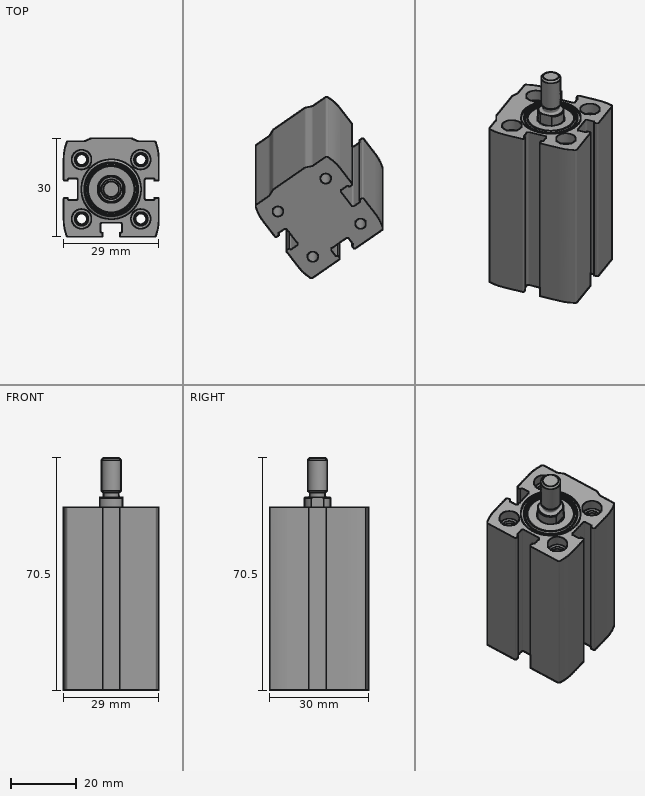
import cadquery as cq
import math

total_height = 70.5
body_height = 55.55
body_width = 29.0
body_depth = 30.0
half_width = body_width / 2

side_flat_half = 9.25
side_curve_radius = 13.75
end_flat_half = 13.05
corner_drop = 0.6
corner_radius = 0.7
pad_height = 0.9
pad_top_half = 6.05
pad_foot_half = 8.05
pad_radius = 1.4
front_y = -half_width
pad_y = front_y + body_depth
rear_y = pad_y - pad_height

slot_mouth_width = 5.2
slot_inner_width = 6.5
slot_lip = 1.35
slot_depth = 4.3
slot_inner_radius = 0.5
slot_lip_radius = 0.3
slot_mouth_radius = 0.4
slot_angles = (-90, 0, 90)

hole_pitch = 18.0
hole_diameter = 3.25
counterbore_diameter = 6.0
counterbore_depth = 3.5
countersink_diameter = 4.15
countersink_depth = (countersink_diameter - hole_diameter) / 2

outer_groove_diameter = 18.2
outer_crest_diameter = 16.4
crest_drop = 0.2
crest_z = body_height - crest_drop
groove_depth = 0.4
groove_floor = crest_z - groove_depth
inner_groove_diameter = 16.0
inner_groove_floor_diameter = 15.6
inner_crest_diameter = 14.5
inner_groove_chamfer = (outer_crest_diameter - inner_groove_diameter) / 2
recess_diameter = 14.0
recess_depth = 0.35
cover_face = body_height - recess_depth
rod_clearance_diameter = 8.3
rod_clearance_depth = 0.7
clearance_floor = cover_face - rod_clearance_depth

collar_diameter = 8.0
collar_top = 58.5
collar_chamfer = 0.2
flats_width = 7.0
thread_diameter = 6.0
thread_bottom = 60.55
neck_diameter = 4.7
thread_chamfer = (thread_diameter - neck_diameter) / 2
neck_fillet = 0.4
rod_bottom = body_height / 2


def side_curve_x(y):
    """X of the right-hand side curve at a given Y, tangent to the flat side face."""
    rise = abs(y) - side_flat_half
    return half_width - side_curve_radius + math.sqrt(side_curve_radius**2 - rise**2)


def housing_outline():
    """Square profile with curved sides and small rounded corners."""
    front_end_y = front_y + corner_drop
    rear_end_y = rear_y - corner_drop
    front_mid_y = (front_end_y - side_flat_half) / 2
    rear_mid_y = (rear_end_y + side_flat_half) / 2
    return (
        cq.Workplane("XY")
        .moveTo(0, front_y)
        .lineTo(end_flat_half, front_y)
        .radiusArc((side_curve_x(front_end_y), front_end_y), -corner_radius)
        .threePointArc((side_curve_x(front_mid_y), front_mid_y), (half_width, -side_flat_half))
        .lineTo(half_width, side_flat_half)
        .threePointArc((side_curve_x(rear_mid_y), rear_mid_y), (side_curve_x(rear_end_y), rear_end_y))
        .radiusArc((end_flat_half, rear_y), -corner_radius)
        .lineTo(0, rear_y)
        .mirrorY()
    )


def rear_pad():
    """Pad along the rear face, its sloping flanks rounded into the face and the pad top."""
    slab = (
        cq.Workplane("XY")
        .polyline([
            (-end_flat_half, 0),
            (-end_flat_half, rear_y),
            (-pad_foot_half, rear_y),
            (-pad_top_half, pad_y),
            (pad_top_half, pad_y),
            (pad_foot_half, rear_y),
            (end_flat_half, rear_y),
            (end_flat_half, 0),
        ])
        .close()
        .extrude(body_height)
    )
    flank_edges = cq.selectors.BoxSelector(
        (-end_flat_half + pad_radius, 0, 0),
        (end_flat_half - pad_radius, 2 * pad_y, body_height),
    )
    return slab.edges("|Z").edges(flank_edges).fillet(pad_radius)


def slot_cutter():
    """T-shaped slot in the front face, open along the whole height."""
    lip_y = front_y + slot_lip
    floor_y = front_y + slot_depth
    mouth = slot_mouth_width / 2
    chamber = (
        cq.Workplane("XY")
        .box(slot_inner_width, floor_y - lip_y, body_height, centered=(True, False, False))
        .translate((0, lip_y, 0))
        .edges("|Z and >Y")
        .fillet(slot_inner_radius)
        .edges("|Z and <Y")
        .fillet(slot_lip_radius)
    )
    opening = (
        cq.Workplane("XY")
        .moveTo(-mouth - slot_mouth_radius, front_y)
        .radiusArc((-mouth, front_y + slot_mouth_radius), -slot_mouth_radius)
        .lineTo(-mouth, floor_y - slot_inner_radius)
        .lineTo(mouth, floor_y - slot_inner_radius)
        .lineTo(mouth, front_y + slot_mouth_radius)
        .radiusArc((mouth + slot_mouth_radius, front_y), -slot_mouth_radius)
        .close()
        .extrude(body_height)
    )
    return chamber.union(opening)


def revolved(profile):
    """Solid of revolution about Z from (radius, height) points."""
    return cq.Workplane("XZ").polyline(profile).close().revolve(360, (0, 0), (0, 1))


def mounting_hole_cutter():
    """Through hole with a countersink below a flat counterbore."""
    hole_r = hole_diameter / 2
    sink_r = countersink_diameter / 2
    bore_r = counterbore_diameter / 2
    floor_z = body_height - counterbore_depth
    return revolved([
        (0, 0),
        (hole_r, 0),
        (hole_r, floor_z - countersink_depth),
        (sink_r, floor_z),
        (bore_r, floor_z),
        (bore_r, body_height),
        (0, body_height),
    ])


def cover_grooves_cutter():
    """Two ring grooves of sawtooth section, each with a cone that rises inwards to a crest."""
    outer_r = outer_groove_diameter / 2
    inner_r = inner_groove_diameter / 2
    recess_r = recess_diameter / 2
    return revolved([
        (outer_r, body_height),
        (outer_r, groove_floor),
        (outer_crest_diameter / 2, crest_z),
        (inner_r, crest_z - inner_groove_chamfer),
        (inner_r, groove_floor),
        (inner_groove_floor_diameter / 2, groove_floor),
        (inner_crest_diameter / 2, crest_z),
        (recess_r, crest_z),
        (recess_r, body_height),
    ])


def rod_bore_cutter():
    """Stepped bore: shallow recess in the cover, clearance round the rod, then the rod fit."""
    fit_r = collar_diameter / 2
    clearance_r = rod_clearance_diameter / 2
    recess_r = recess_diameter / 2
    return revolved([
        (0, rod_bottom),
        (fit_r, rod_bottom),
        (fit_r, clearance_floor),
        (clearance_r, clearance_floor),
        (clearance_r, cover_face),
        (recess_r, cover_face),
        (recess_r, body_height),
        (0, body_height),
    ])


def make_housing():
    body = housing_outline().extrude(body_height).union(rear_pad())
    for angle in slot_angles:
        body = body.cut(slot_cutter().rotate((0, 0, 0), (0, 0, 1), angle))
    holes = mounting_hole_cutter()
    for x in (-hole_pitch / 2, hole_pitch / 2):
        for y in (-hole_pitch / 2, hole_pitch / 2):
            body = body.cut(holes.translate((x, y, 0)))
    return body.cut(cover_grooves_cutter()).cut(rod_bore_cutter())


def make_rod():
    collar_r = collar_diameter / 2
    neck_r = neck_diameter / 2
    thread_r = thread_diameter / 2
    fillet_mid = neck_fillet * (1 - math.sqrt(0.5))
    rod = (
        cq.Workplane("XZ")
        .moveTo(0, rod_bottom)
        .lineTo(collar_r, rod_bottom)
        .lineTo(collar_r, collar_top - collar_chamfer)
        .lineTo(collar_r - collar_chamfer, collar_top)
        .lineTo(neck_r + neck_fillet, collar_top)
        .threePointArc(
            (neck_r + fillet_mid, collar_top + fillet_mid),
            (neck_r, collar_top + neck_fillet),
        )
        .lineTo(neck_r, thread_bottom - thread_chamfer)
        .lineTo(thread_r, thread_bottom)
        .lineTo(thread_r, total_height - thread_chamfer)
        .lineTo(thread_r - thread_chamfer, total_height)
        .lineTo(0, total_height)
        .close()
        .revolve(360, (0, 0), (0, 1))
    )
    flats = (
        cq.Workplane("XY", origin=(0, 0, clearance_floor))
        .rect(2 * collar_diameter, 2 * collar_diameter)
        .rect(flats_width, collar_diameter)
        .extrude(collar_top - clearance_floor)
    )
    return rod.cut(flats)


housing = make_housing()
rod = make_rod()
result = cq.Compound.makeCompound([housing.val(), rod.val()])